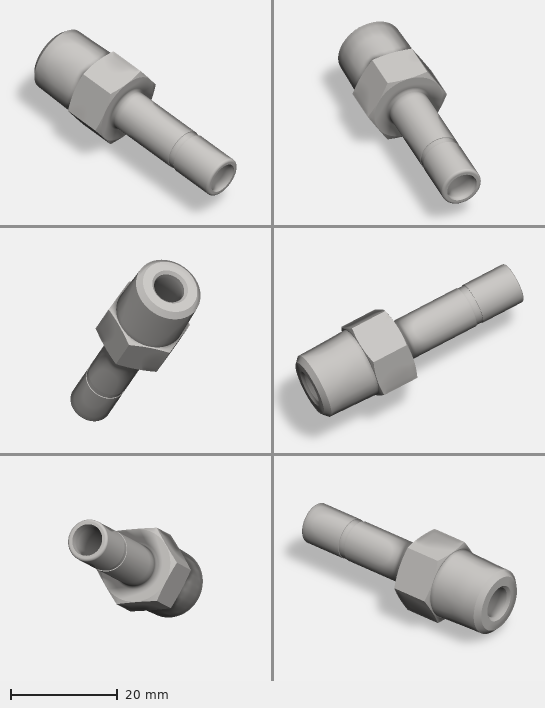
import cadquery as cq
import math

total_length = 44.0
thread_length = 11.0
hex_length = 8.0
x_start = -total_length / 2
x_hex = x_start + thread_length
x_stem = x_hex + hex_length
x_end = total_length / 2

thread_lead_diameter = 12.85
thread_taper = 1 / 16
thread_chamfer = 1.0
thread_face_diameter = 10.8

across_flats = 14.0
across_corners = across_flats / math.cos(math.pi / 6)
hex_face_diameter = 13.85
hex_chamfer_angle = 20.0

stem_diameter = 8.0
stem_root_fillet = 0.5
stem_end_fillet = 0.5
groove_diameter = 7.7
groove_width = 1.4
groove_to_end = 8.9

bore_diameter = 6.0
countersink_diameter = 7.1


def revolve_about_x(profile):
    return profile.close().revolve(360, (0, 0, 0), (1, 0, 0))


def make_thread():
    x_lead = x_start + thread_chamfer
    lead_radius = thread_lead_diameter / 2
    root_radius = lead_radius + (x_hex - x_lead) * thread_taper / 2
    profile = (
        cq.Workplane("XY")
        .moveTo(x_start, 0)
        .lineTo(x_start, thread_face_diameter / 2)
        .lineTo(x_lead, lead_radius)
        .lineTo(x_hex, root_radius)
        .lineTo(x_hex, 0)
    )
    return revolve_about_x(profile)


def make_hexagon():
    prism = (
        cq.Workplane("YZ", origin=(x_hex, 0, 0))
        .polygon(6, across_corners)
        .extrude(hex_length)
    )
    slope = math.tan(math.radians(hex_chamfer_angle))
    corner_radius = across_corners / 2
    face_radius = hex_face_diameter / 2
    chamfer_length = (corner_radius - face_radius) * slope
    envelope = (
        cq.Workplane("XY")
        .moveTo(x_hex, 0)
        .lineTo(x_hex, face_radius)
        .lineTo(x_hex + chamfer_length, corner_radius)
        .lineTo(x_stem - chamfer_length, corner_radius)
        .lineTo(x_stem, face_radius)
        .lineTo(x_stem, 0)
    )
    return prism.intersect(revolve_about_x(envelope))


def make_stem():
    radius = stem_diameter / 2
    groove_radius = groove_diameter / 2
    x_groove_end = x_end - groove_to_end
    x_groove = x_groove_end - groove_width
    profile = (
        cq.Workplane("XY")
        .moveTo(x_stem, 0)
        .lineTo(x_stem, radius + stem_root_fillet)
        .radiusArc((x_stem + stem_root_fillet, radius), -stem_root_fillet)
        .lineTo(x_groove, radius)
        .lineTo(x_groove, groove_radius)
        .lineTo(x_groove_end, groove_radius)
        .lineTo(x_groove_end, radius)
        .lineTo(x_end - stem_end_fillet, radius)
        .radiusArc((x_end, radius - stem_end_fillet), stem_end_fillet)
        .lineTo(x_end, 0)
    )
    return revolve_about_x(profile)


def make_bore():
    bore_radius = bore_diameter / 2
    countersink_radius = countersink_diameter / 2
    countersink_depth = countersink_radius - bore_radius
    profile = (
        cq.Workplane("XY")
        .moveTo(x_start, 0)
        .lineTo(x_start, countersink_radius)
        .lineTo(x_start + countersink_depth, bore_radius)
        .lineTo(x_end, bore_radius)
        .lineTo(x_end, 0)
    )
    return revolve_about_x(profile)


result = make_thread().union(make_hexagon()).union(make_stem()).cut(make_bore())